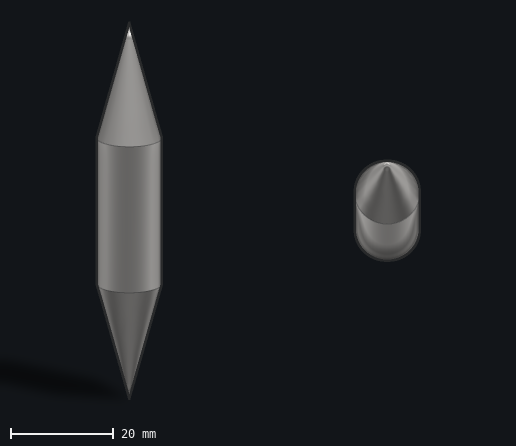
import cadquery as cq

total_length = 76.2
diameter = 12.7
cone_length = 23.3

radius = diameter / 2
tip_height = total_length / 2
shoulder_height = tip_height - cone_length

result = (
    cq.Workplane("XZ")
    .moveTo(0, -tip_height)
    .lineTo(-radius, -shoulder_height)
    .lineTo(-radius, shoulder_height)
    .lineTo(0, tip_height)
    .close()
    .revolve(360, (0, 0), (0, 1))
)